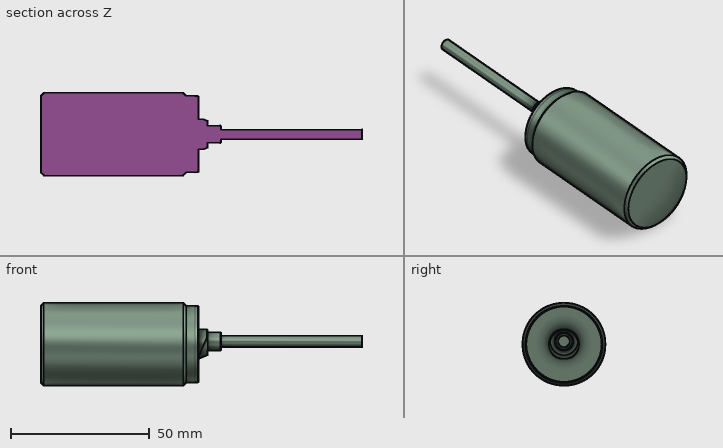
import cadquery as cq

total_length = 115.8
body_end = 51.3
lid_seam = 55.5
neck_end = 56.9
gland_end = 60.1
sleeve_end = 65.0

body_radius = 30.0 / 2
body_chamfer = 1.0
neck_radius = 13.9
lid_rim_radius = 13.8
lid_rim_chamfer = 0.2
gland_radius = 5.5
gland_cone_start_radius = 6.4
gland_cone_end_radius = 5.0
gland_edge_chamfer = 0.3
sleeve_radius = 3.4
sleeve_edge_chamfer = 0.3
cable_radius = 2.1

cable_height = 1.0

x_start = -total_length / 2


def rod(start, end, radius, height=0.0):
    """Cylinder along X between two axial positions."""
    plane = cq.Workplane("YZ", origin=(x_start + start, 0, height))
    return plane.circle(radius).extrude(end - start)


def make_body():
    """Can with a chamfered closed end and a chamfered shoulder, a neck and a slightly tapered lid."""
    outline = [
        (0, 0),
        (0, neck_radius),
        (body_chamfer, body_radius),
        (body_end, body_radius),
        (body_end + body_chamfer, neck_radius),
        (lid_seam, neck_radius),
        (neck_end - lid_rim_chamfer, lid_rim_radius),
        (neck_end, lid_rim_radius - lid_rim_chamfer),
        (neck_end, 0),
    ]
    profile = cq.Workplane("XY", origin=(x_start, 0, 0)).polyline(outline).close()
    return profile.revolve(360, (0, 0, 0), (1, 0, 0))


def make_gland():
    """Disc on the body axis, trimmed below by a cone on the cable axis."""
    disc = rod(neck_end, gland_end, gland_radius).faces(">X").chamfer(gland_edge_chamfer)
    cone_outline = [
        (neck_end, 0),
        (neck_end, gland_cone_start_radius),
        (gland_end, gland_cone_end_radius),
        (gland_end, 0),
    ]
    profile = cq.Workplane("XY", origin=(x_start, 0, cable_height)).polyline(cone_outline).close()
    cone = profile.revolve(360, (0, 0, 0), (1, 0, 0))
    return disc.intersect(cone)


sleeve = rod(neck_end, sleeve_end, sleeve_radius, cable_height).faces(">X").chamfer(sleeve_edge_chamfer)
cable = rod(neck_end, total_length, cable_radius, cable_height)

result = make_body().union(make_gland()).union(sleeve).union(cable)